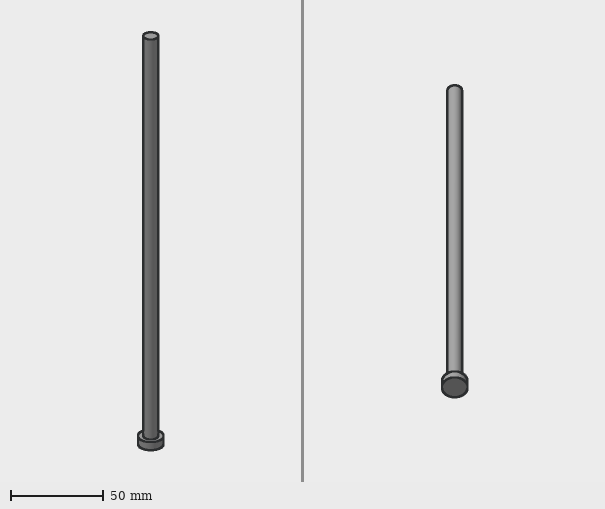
import cadquery as cq

total_length = 255.0
head_diameter = 14.0
head_height = 5.0
shaft_diameter = 8.2

shaft_length = total_length - head_height

head = cq.Workplane("XY").circle(head_diameter / 2).extrude(head_height)

result = head.faces(">Z").workplane().circle(shaft_diameter / 2).extrude(shaft_length)